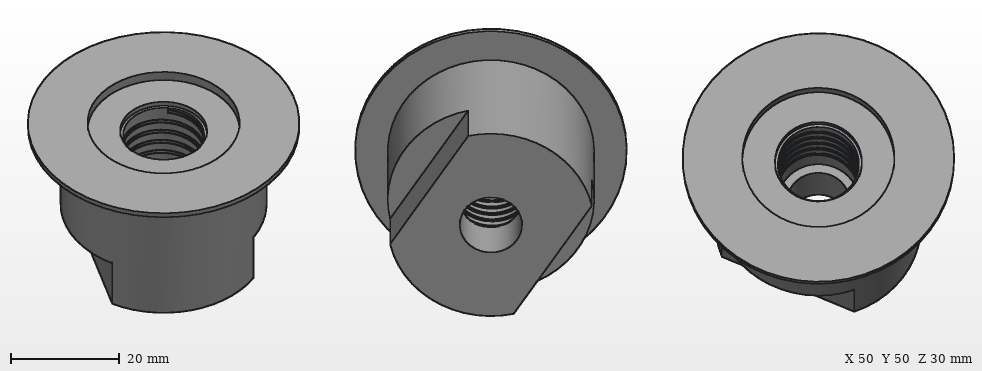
import cadquery as cq

flange_diameter = 50.0
flange_thickness = 1.0
body_diameter = 38.0
total_height = 30.0

flat_spacing = 27.0
flat_height = 10.0

recess_diameter = 28.0
recess_depth = 2.0
counterbore_diameter = 16.0
counterbore_depth = 1.0
socket_diameter = 14.9
socket_floor_height = 10.0
through_diameter = 11.45

groove_diameter = 15.2
groove_pitch = 2.5
groove_width = 0.7
groove_overlap = 0.2
groove_start_margin = 2.5
groove_end_margin = 0.9

counterbore_top = total_height - recess_depth
socket_top = counterbore_top - counterbore_depth


def cylinder(diameter, bottom, top):
    """Vertical cylinder centred on the Z axis."""
    return cq.Workplane("XY").workplane(offset=bottom).circle(diameter / 2).extrude(top - bottom)


def flanged_body():
    body = cylinder(body_diameter, 0, total_height)
    return body.union(cylinder(flange_diameter, total_height - flange_thickness, total_height))


def flat_cutters():
    """Blocks on the front and back that leave two parallel flats."""
    outer = cylinder(flange_diameter, 0, flat_height)
    core = cq.Workplane("XY").box(flange_diameter, flat_spacing, flat_height, centered=(True, True, False))
    return outer.cut(core)


def stepped_bore():
    bore = cylinder(through_diameter, 0, total_height)
    bore = bore.union(cylinder(socket_diameter, socket_floor_height, total_height))
    bore = bore.union(cylinder(counterbore_diameter, socket_top, total_height))
    return bore.union(cylinder(recess_diameter, counterbore_top, total_height))


def helical_groove():
    """Rectangular thread cutter that overlaps the socket radially."""
    inner_radius = socket_diameter / 2 - groove_overlap
    outer_radius = groove_diameter / 2
    start = socket_floor_height + groove_start_margin
    rise = socket_top - groove_end_margin - start
    path = cq.Wire.makeHelix(groove_pitch, rise, inner_radius, center=cq.Vector(0, 0, start))
    profile = (
        cq.Workplane("XZ")
        .center((inner_radius + outer_radius) / 2, start)
        .rect(outer_radius - inner_radius, groove_width)
    )
    return profile.sweep(cq.Workplane(obj=path), isFrenet=True)


result = flanged_body().cut(flat_cutters()).cut(stepped_bore()).cut(helical_groove())